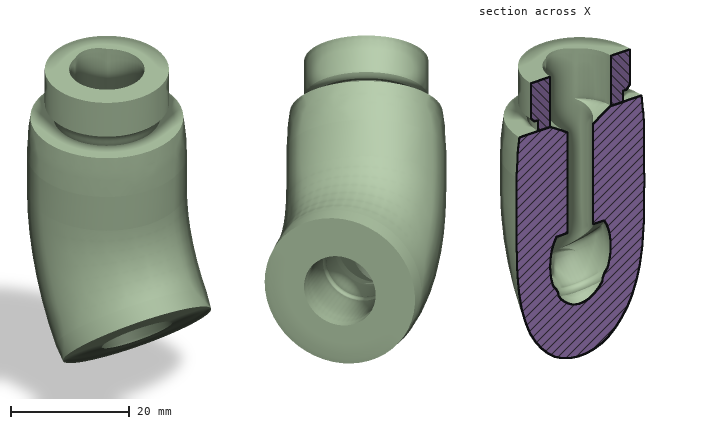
import cadquery as cq
import math

bend_angle = 45
bend_radius = 30.0
elbow_radius = 13.5
outlet_radius = 13.25
outlet_length = 3.0
bend_z = 32.7
collar_height = 6.75
shoulder_radius = 12.9
shoulder_height = 7.4
shoulder_z = bend_z + collar_height + shoulder_height

top_z = 56.35
nipple_radius = 10.5
neck_radius = 9
nipple_chamfer = 0.8
neck_height = 2.0

bore_radius = 6.35
bore_floor_z = shoulder_z
drill_half_angle = 59
cross_hole_radius = 4.0
cross_hole_x = -3.0
cross_hole_end_z = 18.05

outlet_bore_radius = 6.3
taper_start = 17.55
taper_end_radius = 6.2
outlet_bore_depth = 19.05
bead_start = 11.05
bead_width = 1.5
bead_height = 0.3

tilt = math.radians(bend_angle)
outlet_direction = cq.Vector(math.sin(tilt), 0, -math.cos(tilt))
bend_end = cq.Vector(bend_radius * (1 - math.cos(tilt)), 0, bend_z - bend_radius * math.sin(tilt))
outlet_center = bend_end + outlet_direction * outlet_length


def make_collar():
    """Straight collar below a shoulder that curves gently inward."""
    collar_top = bend_z + collar_height
    inset = elbow_radius - shoulder_radius
    arc_radius = (shoulder_height**2 + inset**2) / (2 * inset)
    half_height = shoulder_height / 2
    arc_inset = arc_radius - math.sqrt(arc_radius**2 - half_height**2)
    return (
        cq.Workplane("XZ")
        .moveTo(0, bend_z)
        .lineTo(elbow_radius, bend_z)
        .lineTo(elbow_radius, collar_top)
        .threePointArc((elbow_radius - arc_inset, collar_top + half_height), (shoulder_radius, shoulder_z))
        .lineTo(0, shoulder_z)
        .close()
        .revolve(360, (0, 0, 0), (0, 1, 0))
    )


def make_bend():
    """Round tube form turned about a Y axis at the bend center."""
    return (
        cq.Workplane("XY", origin=(0, 0, bend_z))
        .circle(elbow_radius)
        .revolve(bend_angle, (bend_radius, 0, 0), (bend_radius, -1, 0))
    )


def make_outlet():
    """Short tapered end of the elbow."""
    return (
        cq.Workplane(cq.Plane(bend_end, (0, 1, 0), outlet_direction))
        .circle(elbow_radius)
        .workplane(offset=outlet_length)
        .circle(outlet_radius)
        .loft(ruled=True)
    )


def make_vertical_bore():
    """Bore from the top, its conical floor, and the offset hole through the floor."""
    point_depth = bore_radius / math.tan(math.radians(drill_half_angle))
    bore = (
        cq.Workplane("XZ")
        .moveTo(0, top_z)
        .lineTo(bore_radius, top_z)
        .lineTo(bore_radius, bore_floor_z)
        .lineTo(0, bore_floor_z - point_depth)
        .close()
        .revolve(360, (0, 0, 0), (0, 1, 0))
    )
    cross_hole = (
        cq.Workplane("XY", origin=(cross_hole_x, 0, cross_hole_end_z))
        .circle(cross_hole_radius)
        .extrude(top_z - cross_hole_end_z)
    )
    return bore.union(cross_hole)


def make_outlet_bore():
    """Oblique bore into the outlet face, with its rounded bead and tapered inner end."""
    bead_end = bead_start + bead_width
    bead_middle = (outlet_bore_radius - bead_height, bead_start + bead_width / 2)
    return (
        cq.Workplane(cq.Plane(outlet_center, (math.cos(tilt), 0, math.sin(tilt)), (0, -1, 0)))
        .lineTo(outlet_bore_radius, 0)
        .lineTo(outlet_bore_radius, bead_start)
        .threePointArc(bead_middle, (outlet_bore_radius, bead_end))
        .lineTo(outlet_bore_radius, taper_start)
        .lineTo(taper_end_radius, outlet_bore_depth)
        .lineTo(0, outlet_bore_depth)
        .close()
        .revolve(360, (0, 0, 0), (0, 1, 0))
    )


def make_nipple():
    """Stepped ring with a chamfered lower edge above a narrower neck."""
    head_z = shoulder_z + neck_height
    neck = cq.Workplane("XY", origin=(0, 0, shoulder_z)).circle(neck_radius).extrude(neck_height)
    head = (
        cq.Workplane("XY", origin=(0, 0, head_z))
        .circle(nipple_radius)
        .extrude(top_z - head_z)
        .faces("<Z")
        .chamfer(nipple_chamfer)
    )
    return neck.union(head).cut(make_vertical_bore())


def make_elbow():
    """Collar, bend and outlet with both bores cut through."""
    outside = make_collar().union(make_bend()).union(make_outlet())
    return outside.cut(make_vertical_bore()).cut(make_outlet_bore())


elbow = make_elbow()
nipple = make_nipple()
result = cq.Compound.makeCompound([elbow.val(), nipple.val()])